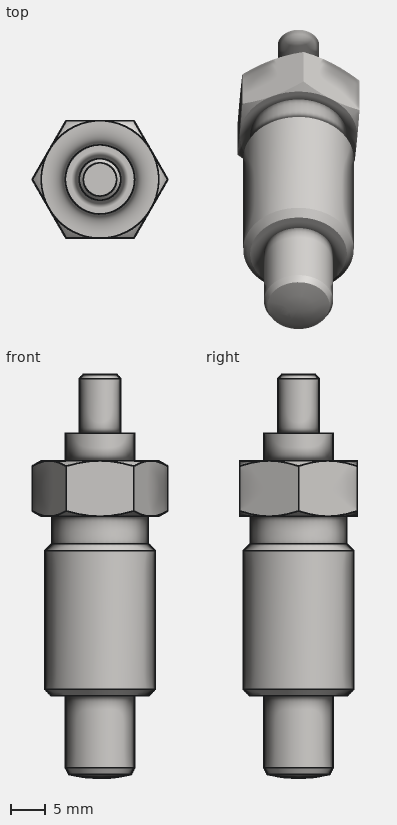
import cadquery as cq
import math


thread_diameter = 16.0
thread_length = 22.0
thread_chamfer = 1.0
neck_diameter = thread_diameter - 2 * thread_chamfer
neck_length = 4.0
hex_across_flats = 17.0
hex_height = 8.0
hex_chamfer_angle = 30.0

pin_diameter = 10.0
collar_height = 4.0
tip_projection = 11.93
tip_dome_radius = 18.0
tip_taper_height = 1.0
tip_taper_inset = 0.5
stud_diameter = 6.0
stud_length = 8.5
stud_chamfer = 0.6

thread_top = thread_length
hex_bottom = thread_top + neck_length
hex_top = hex_bottom + hex_height
collar_top = hex_top + collar_height
stud_top = collar_top + stud_length
tip_apex = -tip_projection


def cylinder(diameter, bottom, top):
    """Solid cylinder on the Z axis between two levels."""
    return cq.Workplane("XY").workplane(offset=bottom).circle(diameter / 2).extrude(top - bottom)


def make_hexagon():
    """Hexagon with two corners on the X axis, its corners bevelled at both ends."""
    across_corners = hex_across_flats / math.cos(math.radians(30))
    prism = cq.Workplane("XY").workplane(offset=hex_bottom).polygon(6, across_corners).extrude(hex_height)

    corner_radius = across_corners / 2
    face_radius = hex_across_flats / 2
    bevel_drop = (corner_radius - face_radius) * math.tan(math.radians(hex_chamfer_angle))
    bevel_envelope = (
        cq.Workplane("XZ")
        .moveTo(0, hex_bottom)
        .lineTo(face_radius, hex_bottom)
        .lineTo(corner_radius, hex_bottom + bevel_drop)
        .lineTo(corner_radius, hex_top - bevel_drop)
        .lineTo(face_radius, hex_top)
        .lineTo(0, hex_top)
        .close()
        .revolve(360, (0, 0, 0), (0, 1, 0))
    )
    return prism.intersect(bevel_envelope)


def make_housing():
    """Chamfered thread body, neck and hexagon, bored through for the plunger."""
    thread = cylinder(thread_diameter, 0, thread_top).edges("%CIRCLE").chamfer(thread_chamfer)
    neck = cylinder(neck_diameter, thread_top, hex_bottom)
    bore = cylinder(pin_diameter, 0, hex_top)
    return thread.union(neck).union(make_hexagon()).cut(bore)


def make_plunger():
    """Pin with a tapered, domed lower tip and a thinner chamfered stud on top."""
    pin_radius = pin_diameter / 2
    dome_edge_radius = pin_radius - tip_taper_inset
    dome_height = tip_dome_radius - math.sqrt(tip_dome_radius**2 - dome_edge_radius**2)
    dome_edge = tip_apex + dome_height
    pin = (
        cq.Workplane("XZ")
        .moveTo(0, tip_apex)
        .radiusArc((dome_edge_radius, dome_edge), -tip_dome_radius)
        .lineTo(pin_radius, dome_edge + tip_taper_height)
        .lineTo(pin_radius, collar_top)
        .lineTo(0, collar_top)
        .close()
        .revolve(360, (0, 0, 0), (0, 1, 0))
    )
    stud = cylinder(stud_diameter, collar_top, stud_top).faces(">Z").chamfer(stud_chamfer)
    return pin.union(stud)


housing = make_housing()
plunger = make_plunger()

result = cq.Compound.makeCompound([housing.val(), plunger.val()])